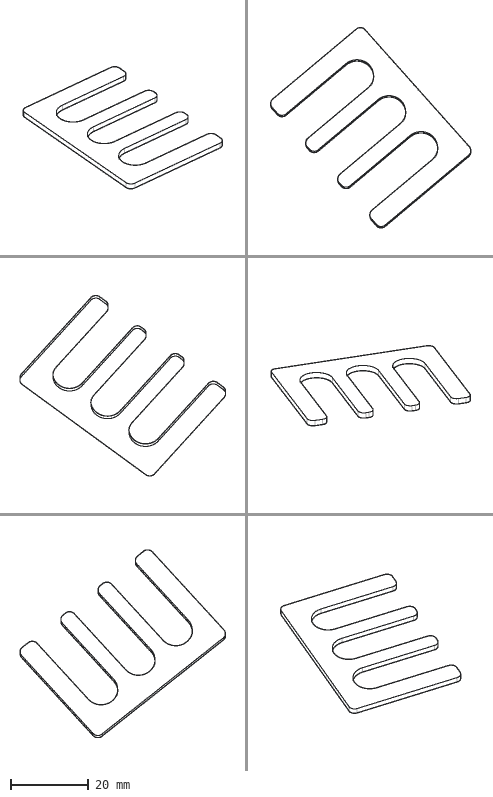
import cadquery as cq

length = 44.45
width = 31.75
thickness = 1.55
corner_radius = 1.6

slot_count = 3
slot_width = 8.6
slot_pitch = 12.65
web_width = 5.35

slot_radius = slot_width / 2
slot_end_y = -width / 2 + web_width + slot_radius


def slot_cutter(center_x):
    """Slot with a round inner end, open through the +Y edge of the plate."""
    left = center_x - slot_radius
    right = center_x + slot_radius
    return (
        cq.Workplane("XY")
        .moveTo(left, width / 2)
        .lineTo(left, slot_end_y)
        .threePointArc((center_x, slot_end_y - slot_radius), (right, slot_end_y))
        .lineTo(right, width / 2)
        .close()
        .extrude(thickness)
    )


plate = cq.Workplane("XY").box(length, width, thickness, centered=(True, True, False))

for index in range(slot_count):
    slot_x = (index - (slot_count - 1) / 2) * slot_pitch
    plate = plate.cut(slot_cutter(slot_x))

plate = plate.faces("<Y").edges("|Z").fillet(corner_radius)
result = plate.faces(">Y").edges("|Z").fillet(corner_radius)